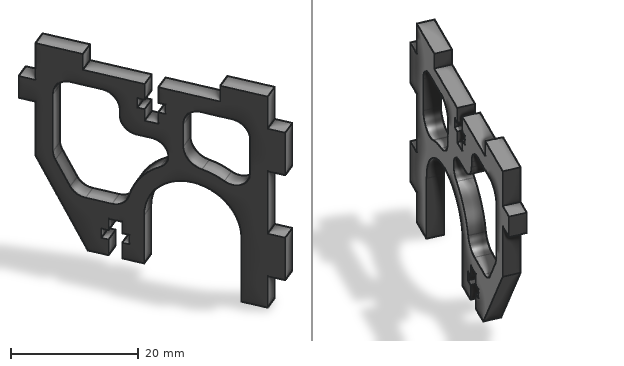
import cadquery as cq
import math

thickness = 3.0
length = 45.3
height = 40.0
step = 3.0
left_tab_depth = 2.85
body_left = left_tab_depth
body_right = length - step
body_middle = (body_left + body_right) / 2
panel_top = height - step
foot_bottom = step

wide_tab = 8.05
narrow_tab = 4.12
left_tab_bottom = 28.9
right_tab_bottoms = (6.0, 25.9)

slope_top = 18.75
slope_foot_x = 11.8

arch_radius = 8.25
right_leg_width = 4.5
arch_x = body_right - right_leg_width - arch_radius
arch_z = 12.25

slot_width = 2.3
slot_depth = 6.95
nut_width = 4.75
nut_height = 1.75
nut_inset = 3.0
lower_slot_x = 16.45

wall = 3.0
window_top = panel_top - 2.85
window_width = 11.35
window_radius = 3.0
tip_radius = 2.7
right_window_foot_radius = 3.63
rim_radius = arch_radius + wall
left_rim_angle = 150
right_rim_angle = 70
window_left = body_left + wall
window_right = body_right - wall
ledge_z = panel_top - slot_depth - wall
window_bottom = foot_bottom + slot_depth + wall


def plate_from(profile):
    """Extrude an XZ profile through the plate thickness."""
    return profile.extrude(-thickness)


def block(left, right, bottom, top):
    profile = cq.Workplane("XZ").moveTo(left, bottom).lineTo(right, bottom)
    return plate_from(profile.lineTo(right, top).lineTo(left, top).close())


def make_plate():
    outline = [
        (body_left, panel_top),
        (body_left, slope_top),
        (slope_foot_x, foot_bottom),
        (arch_x, foot_bottom),
        (arch_x, 0),
        (body_right, 0),
        (body_right, panel_top),
    ]
    plate = plate_from(cq.Workplane("XZ").polyline(outline).close())
    plate = plate.union(block(0, body_left, left_tab_bottom, left_tab_bottom + narrow_tab))
    for left in (body_left, body_right - wide_tab):
        plate = plate.union(block(left, left + wide_tab, panel_top, height))
    for bottom in right_tab_bottoms:
        plate = plate.union(block(body_right, length, bottom, bottom + wide_tab))
    return plate


def arch():
    opening = block(arch_x - arch_radius, arch_x + arch_radius, 0, arch_z)
    crown = plate_from(cq.Workplane("XZ").center(arch_x, arch_z).circle(arch_radius))
    return opening.union(crown)


def nut_slot(x, edge_z, inward):
    """Slot entering from edge_z; inward is +1 for upward and -1 for downward."""
    stem_end = edge_z + inward * slot_depth
    nut_start = edge_z + inward * nut_inset
    nut_end = nut_start + inward * nut_height
    stem = block(x - slot_width / 2, x + slot_width / 2, edge_z, stem_end)
    return stem.union(block(x - nut_width / 2, x + nut_width / 2, nut_start, nut_end))


def rim_point(angle):
    """Point on the circular rim around the arch, by angle from +X in degrees."""
    turn = math.radians(angle)
    return (arch_x + rim_radius * math.cos(turn), arch_z + rim_radius * math.sin(turn))


def rim_height(x):
    return arch_z + math.sqrt(rim_radius**2 - (x - arch_x) ** 2)


def fillet_corner(window, x, z, radius):
    """Round the window corner nearest to (x, z)."""
    corner = cq.selectors.NearestToPointSelector((x, thickness / 2, z))
    return window.edges("|Y").edges(corner).fillet(radius)


def left_window():
    inner_right = window_left + window_width
    run = slope_foot_x - body_left
    drop = slope_top - foot_bottom
    slope_length = math.hypot(run, drop)
    slope_start_z = slope_top + wall * (slope_length - drop) / run
    slope_end_x = window_left + (slope_start_z - window_bottom) * run / drop
    rim_start_x = arch_x - math.sqrt(rim_radius**2 - (window_bottom - arch_z) ** 2)
    rim_start = (rim_start_x, window_bottom)
    tip_z = ledge_z - tip_radius
    tip_reach = rim_radius + tip_radius
    tip_x = arch_x - math.sqrt(tip_reach**2 - (tip_z - arch_z) ** 2)
    tangent_angle = math.degrees(math.atan2(tip_z - arch_z, tip_x - arch_x))
    tip_turn = math.radians((tangent_angle - 180 + 90) / 2)
    tip_middle = (tip_x + tip_radius * math.cos(tip_turn), tip_z + tip_radius * math.sin(tip_turn))

    window = plate_from(
        cq.Workplane("XZ")
        .moveTo(window_left, window_top)
        .lineTo(window_left, slope_start_z)
        .lineTo(slope_end_x, window_bottom)
        .lineTo(*rim_start)
        .threePointArc(rim_point(left_rim_angle), rim_point(tangent_angle))
        .threePointArc(tip_middle, (tip_x, ledge_z))
        .lineTo(inner_right, ledge_z)
        .lineTo(inner_right, window_top)
        .close()
    )
    corners = [
        (window_left, window_top),
        (window_left, slope_start_z),
        (slope_end_x, window_bottom),
        rim_start,
        (inner_right, ledge_z),
        (inner_right, window_top),
    ]
    for x, z in corners:
        window = fillet_corner(window, x, z, window_radius)
    return window


def right_window():
    inner_left = window_right - window_width
    left_foot = (inner_left, rim_height(inner_left))
    right_foot = (window_right, rim_height(window_right))
    window = plate_from(
        cq.Workplane("XZ")
        .moveTo(inner_left, window_top)
        .lineTo(*left_foot)
        .threePointArc(rim_point(right_rim_angle), right_foot)
        .lineTo(window_right, window_top)
        .close()
    )
    for x, z in [(inner_left, window_top), right_foot, (window_right, window_top)]:
        window = fillet_corner(window, x, z, window_radius)
    return fillet_corner(window, *left_foot, right_window_foot_radius)


result = (
    make_plate()
    .cut(arch())
    .cut(nut_slot(body_middle, panel_top, -1))
    .cut(nut_slot(lower_slot_x, foot_bottom, 1))
    .cut(left_window())
    .cut(right_window())
)